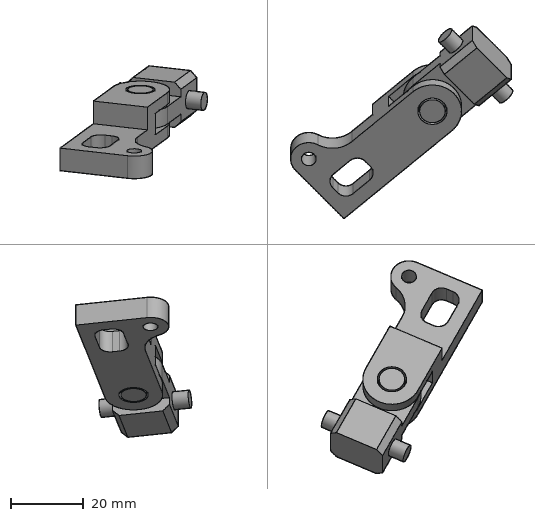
import cadquery as cq
import math

length = 62.0
width = 16.0
height = 13.0
center_x = width / 2
center_z = height / 2

pivot_y = 40.0
pivot_diameter = 7.0
pivot_hole_diameter = 8.0
end_radius = width / 2
tongue_thickness = 5.0
fork_gap = 6.15
fork_gap_depth = 9.0

step_y = 25.0
base_height = height / 2
slot_width = 8.0
slot_length = 12.0
slot_start_y = 4.0
slot_corner_radius = 3.0

ear_radius = 5.0
ear_reach = 9.0
ear_hole_diameter = 4.0
ear_blend_radius = 8.0
ear_x = width + ear_reach - ear_radius
ear_y = ear_radius

head_length = 12.0
head_start_y = length - head_length
head_chamfer = 1.85
trunnion_diameter = 5.0
trunnion_protrusion = 4.5
trunnion_y = length - head_length / 2


def block(x_size, y_size, z_size, x, y, z):
    """Box with its minimum corner at (x, y, z)."""
    return cq.Workplane("XY").box(x_size, y_size, z_size, centered=False).translate((x, y, z))


def upright_cylinder(diameter, z_size, x, y, z=0):
    """Vertical cylinder standing at (x, y, z)."""
    return cq.Workplane("XY").circle(diameter / 2).extrude(z_size).translate((x, y, z))


def base_profile():
    """Base outline whose ear blends tangentially into the straight right side."""
    blend_x = width + ear_blend_radius
    blend_y = ear_y + math.sqrt((ear_radius + ear_blend_radius) ** 2 - (blend_x - ear_x) ** 2)
    blend_angle = math.atan2(blend_y - ear_y, blend_x - ear_x)
    join = (ear_x + ear_radius * math.cos(blend_angle), ear_y + ear_radius * math.sin(blend_angle))
    blend_mid_angle = math.pi + blend_angle / 2
    blend_middle = (
        blend_x + ear_blend_radius * math.cos(blend_mid_angle),
        blend_y + ear_blend_radius * math.sin(blend_mid_angle),
    )
    return (
        cq.Workplane("XY")
        .lineTo(ear_x, 0)
        .threePointArc((ear_x + ear_radius, ear_y), join)
        .threePointArc(blend_middle, (width, blend_y))
        .lineTo(width, step_y)
        .lineTo(0, step_y)
        .close()
    )


def make_clevis():
    """Slotted base with an ear and a round-ended fork."""
    base = base_profile().extrude(base_height)
    fork = block(width, pivot_y - step_y, height, 0, step_y, 0)
    fork = fork.union(upright_cylinder(2 * end_radius, height, center_x, pivot_y))
    clevis = base.union(fork)

    gap_start_y = pivot_y - fork_gap_depth
    gap_length = fork_gap_depth + end_radius
    clevis = clevis.cut(block(width, gap_length, fork_gap, 0, gap_start_y, center_z - fork_gap / 2))
    clevis = clevis.cut(upright_cylinder(pivot_hole_diameter, height, center_x, pivot_y))

    slot = block(slot_width, slot_length, base_height, center_x - slot_width / 2, slot_start_y, 0)
    clevis = clevis.cut(slot.edges("|Z").fillet(slot_corner_radius))
    return clevis.cut(upright_cylinder(ear_hole_diameter, base_height, ear_x, ear_y))


def make_link():
    """Chamfered head with side trunnions, and a tongue carrying the pivot pin."""
    head = block(width, head_length, height, 0, head_start_y, 0)
    head = head.edges("|Y").chamfer(head_chamfer)

    trunnion_length = width + 2 * trunnion_protrusion
    trunnion = (
        cq.Workplane("YZ")
        .center(trunnion_y, center_z)
        .circle(trunnion_diameter / 2)
        .extrude(trunnion_length)
        .translate((-trunnion_protrusion, 0, 0))
    )

    tongue_z = center_z - tongue_thickness / 2
    tongue = block(width, head_start_y - pivot_y, tongue_thickness, 0, pivot_y, tongue_z)
    tongue_end = upright_cylinder(2 * end_radius, tongue_thickness, center_x, pivot_y, tongue_z)
    pivot_pin = upright_cylinder(pivot_diameter, height, center_x, pivot_y)
    return head.union(trunnion).union(tongue).union(tongue_end).union(pivot_pin)


clevis = make_clevis()
link = make_link()
result = cq.Compound.makeCompound([clevis.solids().val(), link.solids().val()])